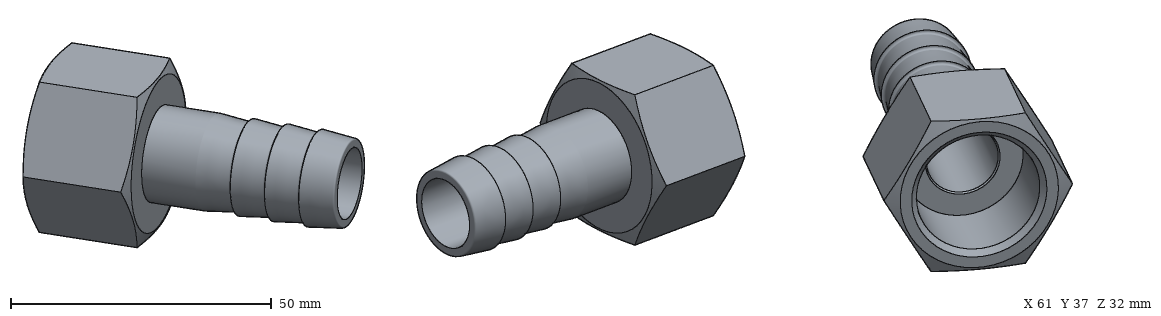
import cadquery as cq
import math

total_length = 61.0
nut_length = 22.0

across_flats = 32.0
across_corners = across_flats / math.cos(math.pi / 6)
face_circle_radius = 15.5
corner_bevel_depth = 1.05
nut_bore_radius = 12.1
mouth_radius = 13.25
mouth_chamfer = mouth_radius - nut_bore_radius
seat_position = 15.8

collar_radius = 11.85
collar_thickness = 2.0
shank_radius = 9.5
tail_bore_radius = 7.0
bore_entry_chamfer = 0.3

barb_count = 4
barbs_start = 33.05
barb_pitch = (total_length - barbs_start) / barb_count
barb_root_radius = 8.7
barb_root_fillet = 0.5
tip_fillet = 0.35

shoulder_position = seat_position + collar_thickness


def revolved(points):
    """Turn a closed (x, radius) outline around the X axis."""
    return cq.Workplane("XZ").polyline(points).close().revolve(360, (0, 0, 0), (1, 0, 0))


def make_nut():
    """Hexagon nut with bevelled corners, a chamfered bore and a shoulder that holds the tail."""
    corner_radius = across_corners / 2
    hexagon = cq.Workplane("YZ").polygon(6, across_corners).extrude(nut_length)
    bevel_envelope = revolved([
        (0, 0),
        (0, face_circle_radius),
        (corner_bevel_depth, corner_radius),
        (nut_length - corner_bevel_depth, corner_radius),
        (nut_length, face_circle_radius),
        (nut_length, 0),
    ])
    bore = revolved([
        (0, 0),
        (0, mouth_radius),
        (mouth_chamfer, nut_bore_radius),
        (shoulder_position, nut_bore_radius),
        (shoulder_position, shank_radius),
        (nut_length, shank_radius),
        (nut_length, 0),
    ])
    return hexagon.intersect(bevel_envelope).cut(bore)


def crest_position(barb):
    """Place along the axis where a barb steps up to its full radius."""
    return barbs_start + barb * barb_pitch


def tail_outline():
    """Half section of the tail: collar, plain shank, then a row of barbs that narrow toward the tip."""
    outline = (
        cq.Workplane("XZ")
        .moveTo(seat_position, tail_bore_radius + bore_entry_chamfer)
        .lineTo(seat_position, collar_radius)
        .lineTo(shoulder_position, collar_radius)
        .lineTo(shoulder_position, shank_radius)
        .lineTo(barbs_start, shank_radius)
    )
    for barb in range(1, barb_count):
        crest = crest_position(barb)
        outline = outline.lineTo(crest, barb_root_radius).lineTo(crest, shank_radius)
    return (
        outline
        .lineTo(total_length, barb_root_radius)
        .lineTo(total_length, tail_bore_radius)
        .lineTo(seat_position + bore_entry_chamfer, tail_bore_radius)
        .close()
    )


def round_circle(body, x, radius, fillet):
    """Fillet the circular edge of this radius at this place on the axis, leaving larger and smaller ones."""
    reach = 0.05
    within_radius = cq.selectors.BoxSelector(
        (x - reach, -radius - reach, -radius - reach),
        (x + reach, radius + reach, radius + reach),
        boundingbox=True,
    )
    largest = cq.selectors.RadiusNthSelector(-1)
    return body.edges(within_radius).edges(largest).fillet(fillet)


def make_tail():
    """Bored hose tail with filleted barb roots and a rounded tip."""
    body = tail_outline().revolve(360, (0, 0, 0), (1, 0, 0))
    for barb in range(1, barb_count):
        body = round_circle(body, crest_position(barb), barb_root_radius, barb_root_fillet)
    return round_circle(body, total_length, barb_root_radius, tip_fillet)


nut = make_nut()
tail = make_tail()

result = cq.Compound.makeCompound([nut.val(), tail.val()])